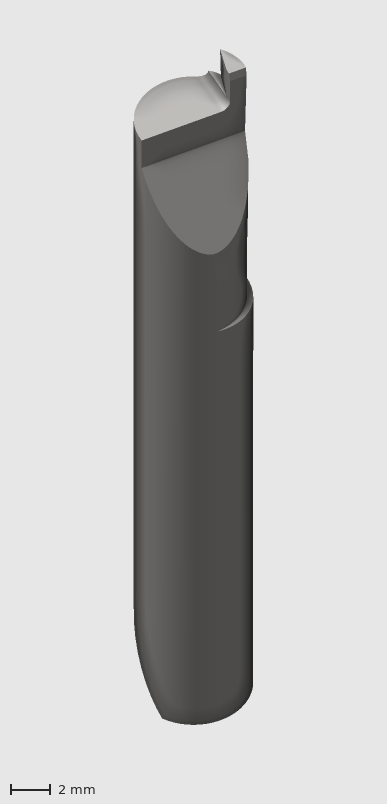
import cadquery as cq
import math

length = 43.0
radius = 3.0
cut_slope = math.tan(math.radians(30))

bevel_height = 7.95

flat_x = 0.17
flat_bottom = 38.55
shoulder_z = 40.55

tip_front_y = 1.98
root_radius = 0.5
root_z = shoulder_z + root_radius
tip_left_x = -1.8
tip_root_left_x = -1.6
tip_top_drop = 0.17
edge_width = 0.15
edge_height = 0.47
edge_drop = 0.05
tip_peak_x = -0.25
relief_left_y = 2.4

neck_bottom = 28.1
neck_top = 31.65
neck_offset = 0.35
tip_offset = 0.17
ledge_margin = 0.17
tip_offset_angle = math.radians(25)

overcut = 4.3


def round_bar(bottom_ring, top_ring):
    """Straight, leaning or tapered round bar between two rings (x, y, z, radius)."""
    rings = [
        cq.Wire.makeCircle(ring_radius, cq.Vector(x, y, z), cq.Vector(0, 0, 1))
        for x, y, z, ring_radius in (bottom_ring, top_ring)
    ]
    return cq.Workplane(cq.Solid.makeLoft(rings, True))


def side_prism(points):
    """Cutting prism with an XZ outline, running through the full depth."""
    return cq.Workplane("XZ").polyline(points).close().extrude(overcut, both=True)


def make_shank():
    """Shank with a conical ledge, an eccentric neck and a leaning clearance."""
    ledge_height = neck_offset + ledge_margin
    ledge_bottom = neck_bottom - ledge_height
    rings = [
        (0, -neck_offset, ledge_bottom, radius + ledge_height),
        (0, -neck_offset, neck_bottom, radius),
        (0, -neck_offset, neck_top, radius),
        (
            -tip_offset * math.cos(tip_offset_angle),
            -tip_offset * math.sin(tip_offset_angle),
            length,
            radius,
        ),
    ]
    shank = cq.Workplane("XY").circle(radius).extrude(ledge_bottom)
    for bottom_ring, top_ring in zip(rings, rings[1:]):
        bottom, top = bottom_ring[2], top_ring[2]
        blank = cq.Workplane("XY", origin=(0, 0, bottom)).circle(radius).extrude(top - bottom)
        shank = shank.union(blank.intersect(round_bar(bottom_ring, top_ring)))
    return shank


def lower_bevel():
    reach = radius + overcut
    return side_prism([
        (-radius, bevel_height),
        (-radius + (bevel_height + overcut) * cut_slope, -overcut),
        (-reach, -overcut),
        (-reach, bevel_height + overcut / cut_slope),
    ])


def head_flat():
    reach = radius + overcut
    return side_prism([
        (flat_x, flat_bottom),
        (flat_x, length + overcut),
        (reach, length + overcut),
        (reach, flat_bottom - (reach - flat_x) / cut_slope),
    ])


def shoulder_cut():
    """Space in front of the tip, with a concave blend down to the shoulder."""
    blend_mid_y = tip_front_y - root_radius * (1 - math.sqrt(0.5))
    blend_mid_z = root_z - root_radius * math.sqrt(0.5)
    return (
        cq.Workplane("YZ")
        .moveTo(-overcut, shoulder_z)
        .lineTo(tip_front_y - root_radius, shoulder_z)
        .threePointArc((blend_mid_y, blend_mid_z), (tip_front_y, root_z))
        .lineTo(tip_front_y, length + overcut)
        .lineTo(-overcut, length + overcut)
        .close()
        .extrude(overcut, both=True)
    )


def tip_outline_cut():
    """Tapered left flank, peaked top edge and bevelled right corner of the tip."""
    return side_prism([
        (-overcut, root_z),
        (tip_root_left_x, root_z),
        (tip_left_x, length - tip_top_drop),
        (tip_peak_x, length),
        (flat_x - edge_width, length - edge_drop),
        (flat_x, length - edge_height),
        (overcut, length - edge_height),
        (overcut, length + overcut),
        (-overcut, length + overcut),
    ])


def tip_relief_cut():
    """Oblique face across the front left corner of the tip."""
    return (
        cq.Workplane("XY", origin=(0, 0, root_z))
        .polyline([
            (tip_peak_x, tip_front_y),
            (tip_left_x, relief_left_y),
            (tip_left_x, tip_front_y),
        ])
        .close()
        .extrude(overcut)
    )


result = make_shank()
for cutter in (lower_bevel(), head_flat(), shoulder_cut(), tip_outline_cut(), tip_relief_cut()):
    result = result.cut(cutter)